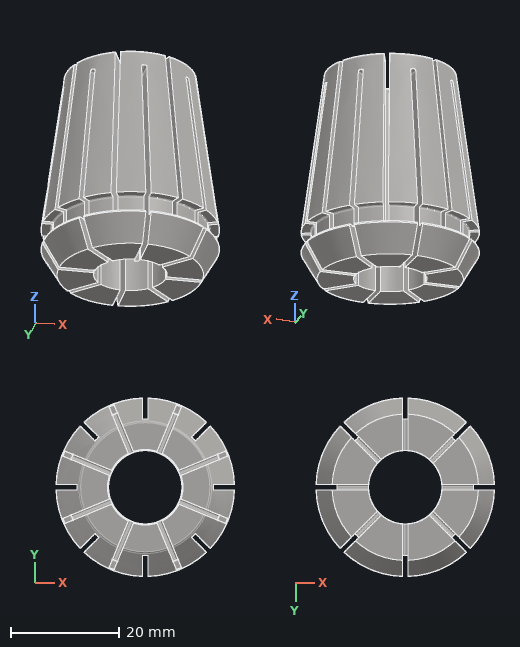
import cadquery as cq
import math

HEIGHT = 40
MAX_RADIUS = 16.5
BORE_DIAMETER = 13.5
BORE_CHAMFER = 0.2

NOSE_ANGLE = 30
RIM_HEIGHT = 5.15
RIM_CHAMFER_HEIGHT = 0.35
RIM_CHAMFER_WIDTH = 0.25

GROOVE_RADIUS = 14.6
GROOVE_TOP = 9.1
GROOVE_FILLET = 0.15

TAPER_ANGLE = 7.9
TOP_FILLET = 0.3

SLOT_WIDTH = 1.0
SLOT_CORNER_RADIUS = 0.4
SLOTS_PER_END = 8
LOWER_SLOT_END = 37.05
UPPER_SLOT_END = 5.95

bore_radius = BORE_DIAMETER / 2
nose_radius = MAX_RADIUS - RIM_HEIGHT * math.tan(math.radians(NOSE_ANGLE))
groove_bottom = RIM_HEIGHT + RIM_CHAMFER_HEIGHT
top_radius = MAX_RADIUS - (HEIGHT - GROOVE_TOP) * math.tan(math.radians(TAPER_ANGLE))
slot_pitch = 360 / SLOTS_PER_END


def make_body():
    """Revolve the half section, bore and groove fillets included, about the Z axis."""
    groove_fillet_start = GROOVE_RADIUS + GROOVE_FILLET
    half_section = (
        cq.Workplane("XZ")
        .moveTo(bore_radius, 0)
        .lineTo(nose_radius, 0)
        .lineTo(MAX_RADIUS, RIM_HEIGHT)
        .lineTo(MAX_RADIUS - RIM_CHAMFER_WIDTH, groove_bottom)
        .lineTo(groove_fillet_start, groove_bottom)
        .radiusArc((GROOVE_RADIUS, groove_bottom + GROOVE_FILLET), GROOVE_FILLET)
        .lineTo(GROOVE_RADIUS, GROOVE_TOP - GROOVE_FILLET)
        .radiusArc((groove_fillet_start, GROOVE_TOP), GROOVE_FILLET)
        .lineTo(MAX_RADIUS, GROOVE_TOP)
        .lineTo(top_radius, HEIGHT)
        .lineTo(bore_radius + BORE_CHAMFER, HEIGHT)
        .lineTo(bore_radius, HEIGHT - BORE_CHAMFER)
        .close()
    )
    sharp_body = half_section.revolve(360, (0, 0), (0, 1))
    top_outer_edge = sharp_body.faces(">Z").edges(cq.selectors.RadiusNthSelector(-1))
    return top_outer_edge.fillet(TOP_FILLET)


def make_slot(open_z, end_z, angle):
    """Radial slot, open at open_z, with rounded corners at its closed end."""
    middle_z = (open_z + end_z) / 2
    closed_end = ">Z" if end_z > open_z else "<Z"
    return (
        cq.Workplane("XY")
        .box(SLOT_WIDTH, MAX_RADIUS, abs(end_z - open_z))
        .translate((0, -MAX_RADIUS / 2, middle_z))
        .faces(closed_end)
        .edges("|Y")
        .fillet(SLOT_CORNER_RADIUS)
        .rotate((0, 0, 0), (0, 0, 1), angle)
    )


result = make_body()
for index in range(SLOTS_PER_END):
    lower_angle = index * slot_pitch
    upper_angle = lower_angle + slot_pitch / 2
    result = result.cut(make_slot(0, LOWER_SLOT_END, lower_angle))
    result = result.cut(make_slot(HEIGHT, UPPER_SLOT_END, upper_angle))